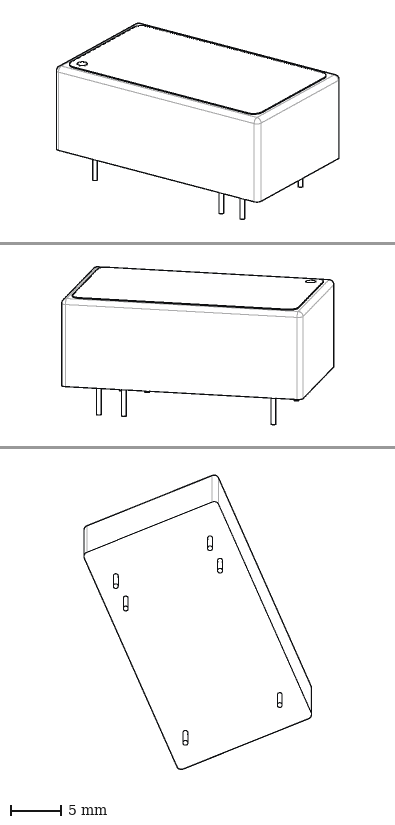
import cadquery as cq

case_length = 24.6
case_width = 14.5
total_height = 12.2
edge_radius = 0.5

label_inset = 0.79
label_corner_radius = 1.0
label_thickness = 0.1
dot_diameter = 1.0
dot_edge_distance = 2.0

pin_diameter = 0.5
pin_length = 3.2
pin_column_span = 17.79
pin_column_steps = (0, 6, 7)
pin_row_steps = 4
pin_pitch = pin_column_span / pin_column_steps[-1]

case_height = total_height - pin_length - label_thickness
dot_x = dot_edge_distance - case_length / 2
dot_y = dot_edge_distance - case_width / 2
first_pin_x = -pin_column_span / 2
pin_row_y = pin_row_steps * pin_pitch / 2


def make_case():
    """Block with rounded upright and top edges and a sharp bottom rim."""
    block = cq.Workplane("XY").box(case_length, case_width, case_height, centered=(True, True, False))
    return block.edges("|Z or >Z").fillet(edge_radius)


def make_dot():
    """Disc that fills the hole in the label, flush with its top."""
    return (
        cq.Workplane("XY", origin=(dot_x, dot_y, case_height))
        .circle(dot_diameter / 2)
        .extrude(label_thickness)
    )


def make_label(dot):
    """Thin plate with round corners on the case top, with a hole for the dot."""
    plate = (
        cq.Workplane("XY", origin=(0, 0, case_height))
        .rect(case_length - 2 * label_inset, case_width - 2 * label_inset)
        .extrude(label_thickness)
        .edges("|Z")
        .fillet(label_corner_radius)
    )
    return plate.cut(dot)


def make_pin(x, y):
    """Round pin hanging from the case bottom."""
    return cq.Workplane("XY", origin=(x, y, 0)).circle(pin_diameter / 2).extrude(-pin_length)


case = make_case()
dot = make_dot()
label = make_label(dot)
pins = []
for step in pin_column_steps:
    for row_y in (-pin_row_y, pin_row_y):
        pins.append(make_pin(first_pin_x + step * pin_pitch, row_y))

result = cq.Compound.makeCompound(
    [case.val(), label.val(), dot.val(), *[pin.val() for pin in pins]]
)